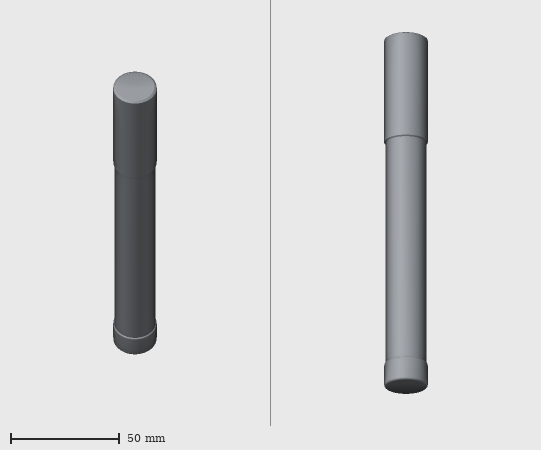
import cadquery as cq

total_length = 171.0
outer_diameter = 20.0
neck_diameter = 18.8
head_length = 50.8
cutter_length = 11.8
head_chamfer_width = 1.0
head_chamfer_height = 0.7
head_taper_height = 0.5
shoulder_top = 11.1
tip_radius = 1.0

outer_radius = outer_diameter / 2
neck_radius = neck_diameter / 2
shoulder_radius = outer_radius - neck_radius
head_bottom = total_length - head_length


def make_shank():
    """Slender neck that widens into the clamping head, with a short taper and a chamfered top rim."""
    return (
        cq.Workplane("XZ")
        .moveTo(0, cutter_length)
        .lineTo(neck_radius, cutter_length)
        .lineTo(neck_radius, head_bottom - head_taper_height)
        .lineTo(outer_radius, head_bottom)
        .lineTo(outer_radius, total_length - head_chamfer_height)
        .lineTo(outer_radius - head_chamfer_width, total_length)
        .lineTo(0, total_length)
        .close()
        .revolve(360, (0, 0, 0), (0, 1, 0))
    )


def make_cutter():
    """Short end piece with a rounded shoulder below a neck-wide land and a rounded bottom rim."""
    blank = (
        cq.Workplane("XZ")
        .lineTo(outer_radius, 0)
        .lineTo(outer_radius, shoulder_top - shoulder_radius)
        .tangentArcPoint((neck_radius, shoulder_top), relative=False)
        .lineTo(neck_radius, cutter_length)
        .lineTo(0, cutter_length)
        .close()
        .revolve(360, (0, 0, 0), (0, 1, 0))
    )
    return blank.faces("<Z").edges().fillet(tip_radius)


shank = make_shank()
cutter = make_cutter()

result = cq.Compound.makeCompound([shank.val(), cutter.val()])